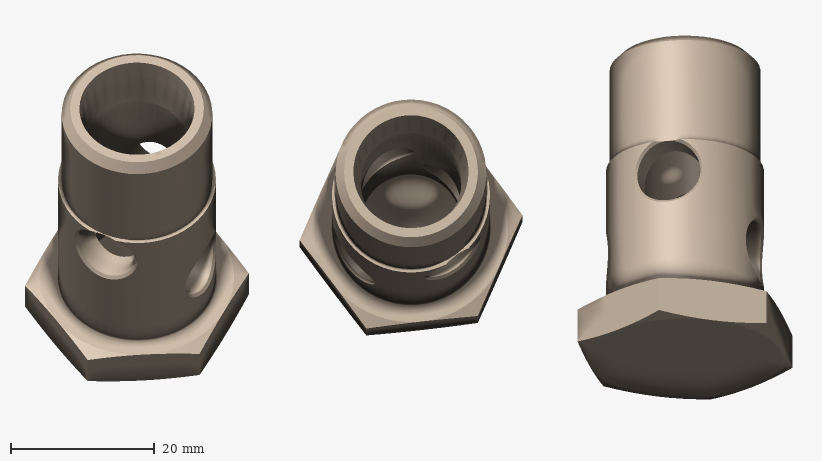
import cadquery as cq
import math

FULL_TURN = 360.0
QUARTER_TURN = FULL_TURN / 4

TOTAL_HEIGHT = 45.0

HEAD_ACROSS_FLATS = 27.0
HEAD_SIDES = 6
HEAD_HEIGHT = 6.0
HEAD_CHAMFER_ANGLE = 15.0

BODY_DIAMETER = 21.96
BODY_TOP = 28.5
BODY_ROOT_FILLET = 0.2
THREAD_DIAMETER = 20.95
THREAD_TOP_DIAMETER = 18.6
THREAD_CHAMFER_HEIGHT = 1.2

BORE_DIAMETER = 14.0
BORE_MOUTH_DIAMETER = 16.0
BORE_TAPER_DEPTH = 7.6
BORE_FLOOR = 8.2
DRILL_POINT_ANGLE = 118.0

CROSS_HOLE_DIAMETER = 9.0
CROSS_HOLE_CHAMFER = 0.4
LOWER_HOLE_HEIGHT = 15.0
UPPER_HOLE_HEIGHT = 24.0


def make_head():
    """Hexagonal head with corners along Y, chamfered on both faces."""
    corner_diameter = HEAD_ACROSS_FLATS / math.cos(math.pi / HEAD_SIDES)
    corner_radius = corner_diameter / 2
    flat_radius = HEAD_ACROSS_FLATS / 2
    chamfer_drop = (corner_radius - flat_radius) * math.tan(math.radians(HEAD_CHAMFER_ANGLE))
    prism = (
        cq.Workplane("XY")
        .polygon(HEAD_SIDES, corner_diameter)
        .extrude(HEAD_HEIGHT)
        .rotate((0, 0, 0), (0, 0, 1), QUARTER_TURN)
    )
    chamfer_envelope = (
        cq.Workplane("XZ")
        .polyline([
            (0, 0),
            (flat_radius, 0),
            (corner_radius, chamfer_drop),
            (corner_radius, HEAD_HEIGHT - chamfer_drop),
            (flat_radius, HEAD_HEIGHT),
            (0, HEAD_HEIGHT),
        ])
        .close()
        .revolve(FULL_TURN, (0, 0, 0), (0, 1, 0))
    )
    return prism.intersect(chamfer_envelope)


def make_bore():
    """Axial bore as a solid: drill point, straight run and tapered mouth."""
    bore_radius = BORE_DIAMETER / 2
    point_depth = bore_radius / math.tan(math.radians(DRILL_POINT_ANGLE / 2))
    return (
        cq.Workplane("XZ")
        .polyline([
            (0, BORE_FLOOR - point_depth),
            (bore_radius, BORE_FLOOR),
            (bore_radius, TOTAL_HEIGHT - BORE_TAPER_DEPTH),
            (BORE_MOUTH_DIAMETER / 2, TOTAL_HEIGHT),
            (0, TOTAL_HEIGHT),
        ])
        .close()
        .revolve(FULL_TURN, (0, 0, 0), (0, 1, 0))
    )


def make_cross_hole(plane, height):
    """Cylinder crossing the whole body, centred on the axis at the given height."""
    return (
        cq.Workplane(plane)
        .center(0, height)
        .circle(CROSS_HOLE_DIAMETER / 2)
        .extrude(BODY_DIAMETER, both=True)
    )


def rim_box(x, y, z):
    """Box around a point on the body surface that holds the hole rim but not its bore-side edge."""
    wall_thickness = (BODY_DIAMETER - BORE_DIAMETER) / 2
    return cq.selectors.BoxSelector(
        (x - wall_thickness, y - wall_thickness, z - wall_thickness),
        (x + wall_thickness, y + wall_thickness, z + wall_thickness),
    )


def make_body():
    """Wide shank with two crossed holes; the upper rim is clipped by the shoulder."""
    body_radius = BODY_DIAMETER / 2
    blank = (
        cq.Workplane("XY")
        .circle(body_radius)
        .extrude(TOTAL_HEIGHT)
        .cut(make_bore())
        .cut(make_cross_hole("YZ", LOWER_HOLE_HEIGHT))
        .cut(make_cross_hole("XZ", UPPER_HOLE_HEIGHT))
    )
    for side in (-1, 1):
        lower_rim = rim_box(side * body_radius, 0, LOWER_HOLE_HEIGHT)
        upper_rim = rim_box(0, side * body_radius, UPPER_HOLE_HEIGHT)
        blank = blank.edges(lower_rim).chamfer(CROSS_HOLE_CHAMFER)
        blank = blank.edges(upper_rim).chamfer(CROSS_HOLE_CHAMFER)
    below_shoulder = cq.Workplane("XY").circle(BODY_DIAMETER).extrude(BODY_TOP)
    return blank.intersect(below_shoulder)


def make_thread():
    """Plain cylinder of the threaded section with a chamfered end."""
    radius_drop = (THREAD_DIAMETER - THREAD_TOP_DIAMETER) / 2
    return (
        cq.Workplane("XY")
        .workplane(offset=BODY_TOP)
        .circle(THREAD_DIAMETER / 2)
        .extrude(TOTAL_HEIGHT - BODY_TOP)
        .faces(">Z")
        .edges()
        .chamfer(THREAD_CHAMFER_HEIGHT, radius_drop)
    )


def make_root_fillet():
    """Concave ring that blends the body into the top face of the head."""
    body_radius = BODY_DIAMETER / 2
    inner_radius = body_radius - BODY_ROOT_FILLET
    root_radius = body_radius + BODY_ROOT_FILLET
    fillet_top = HEAD_HEIGHT + BODY_ROOT_FILLET
    return (
        cq.Workplane("XZ")
        .moveTo(inner_radius, HEAD_HEIGHT)
        .lineTo(root_radius, HEAD_HEIGHT)
        .radiusArc((body_radius, fillet_top), BODY_ROOT_FILLET)
        .lineTo(inner_radius, fillet_top)
        .close()
        .revolve(FULL_TURN, (0, 0, 0), (0, 1, 0))
    )


shank = make_body().union(make_thread()).union(make_root_fillet())
result = make_head().union(shank).cut(make_bore())